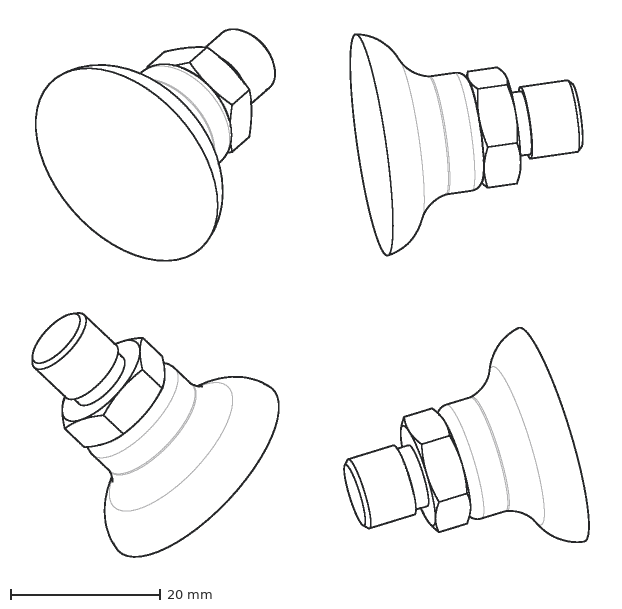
import cadquery as cq
import math


ARC_JOINT_Y = 5.0
COLLAR_START_Y = 9.0
COLLAR_END_Y = 14.0
HEX_END_Y = 19.0
NECK_END_Y = 21.0
STUD_END_Y = 28.0

PAD_RADIUS = 15.0
ARC_JOINT_RADIUS = 11.1
RIM_ARC_RADIUS = 6.5
FLARE_ARC_RADIUS = 5.6
COLLAR_RADIUS = 8.0
COLLAR_TOP_FILLET = 1.5
COLLAR_BASE_FILLET = 1.0

HEX_ACROSS_FLATS = 14.0
HEX_CORNER_RADIUS = HEX_ACROSS_FLATS / 2 / math.cos(math.radians(30))
HEX_CHAMFER_RADIUS = HEX_ACROSS_FLATS / 2
HEX_CHAMFER_DEPTH = 0.5

THREAD_RADIUS = 9.73 / 2
NECK_RADIUS = 8.57 / 2
STUD_CHAMFER = THREAD_RADIUS - NECK_RADIUS


def revolve_about_y(profile):
    """Revolve a closed XY profile a full turn about the Y axis."""
    return profile.close().revolve(360, (0, 0, 0), (0, 1, 0))


def make_pad():
    """Bell-shaped pad: convex rim, concave flare and rounded cylindrical collar."""
    profile = (
        cq.Workplane("XY")
        .lineTo(PAD_RADIUS, 0)
        .radiusArc((ARC_JOINT_RADIUS, ARC_JOINT_Y), -RIM_ARC_RADIUS)
        .radiusArc((COLLAR_RADIUS, COLLAR_START_Y), FLARE_ARC_RADIUS)
        .lineTo(COLLAR_RADIUS, COLLAR_END_Y)
        .lineTo(0, COLLAR_END_Y)
    )
    collar_base = cq.selectors.BoxSelector(
        (-PAD_RADIUS, COLLAR_START_Y - COLLAR_BASE_FILLET, -PAD_RADIUS),
        (PAD_RADIUS, COLLAR_START_Y + COLLAR_BASE_FILLET, PAD_RADIUS),
        boundingbox=True,
    )
    return (
        revolve_about_y(profile)
        .edges(collar_base).fillet(COLLAR_BASE_FILLET)
        .faces(">Y").edges().fillet(COLLAR_TOP_FILLET)
    )


def make_hexagon():
    """Hexagon with corners on the Z axis, its corners chamfered at both ends."""
    prism = (
        cq.Workplane("XZ", origin=(0, COLLAR_END_Y, 0))
        .transformed(rotate=(0, 0, 90))
        .polygon(6, 2 * HEX_CORNER_RADIUS)
        .extrude(COLLAR_END_Y - HEX_END_Y)
    )
    envelope = revolve_about_y(
        cq.Workplane("XY")
        .moveTo(0, COLLAR_END_Y)
        .lineTo(HEX_CHAMFER_RADIUS, COLLAR_END_Y)
        .lineTo(HEX_CORNER_RADIUS, COLLAR_END_Y + HEX_CHAMFER_DEPTH)
        .lineTo(HEX_CORNER_RADIUS, HEX_END_Y - HEX_CHAMFER_DEPTH)
        .lineTo(HEX_CHAMFER_RADIUS, HEX_END_Y)
        .lineTo(0, HEX_END_Y)
    )
    return prism.intersect(envelope)


def make_stud():
    """Thread relief neck followed by the plain thread cylinder with a chamfered end."""
    return revolve_about_y(
        cq.Workplane("XY")
        .moveTo(0, HEX_END_Y)
        .lineTo(NECK_RADIUS, HEX_END_Y)
        .lineTo(NECK_RADIUS, NECK_END_Y)
        .lineTo(THREAD_RADIUS, NECK_END_Y)
        .lineTo(THREAD_RADIUS, STUD_END_Y - STUD_CHAMFER)
        .lineTo(THREAD_RADIUS - STUD_CHAMFER, STUD_END_Y)
        .lineTo(0, STUD_END_Y)
    )


result = make_pad().union(make_hexagon()).union(make_stud())